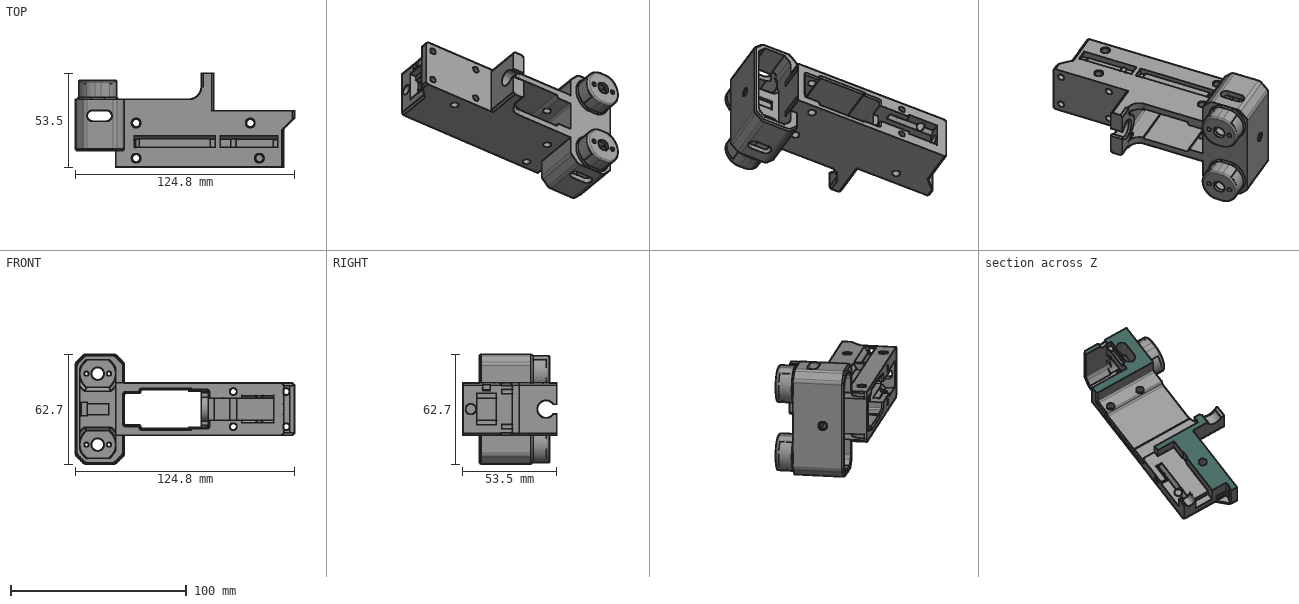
import cadquery as cq
import math

BODY_LEFT = 23.0
BODY_RIGHT = 118.6
BODY_HALF_Z = 14.9
BACK_Y = 38.7
RAIL_Y = 32.2
END_CHAMFER = 1.2

TAIL_RIGHT = 124.75
TAIL_UNDERSIDE_Y = 28.1
TAIL_NOTCH_RIGHT = 121.9
TAIL_SEAT_DEPTH = 0.5
TAIL_NOTCH_HALF_Z = 13.35

ARM_LEFT = 71.6
ARM_RIGHT = 78.9
ARM_TOP_Y = 53.5
ARM_FILLET = 7.0
CLIP_Y = 47.3
CLIP_DIAMETER = 9.8
CLIP_LEAD_IN = 1.1
CLIP_MOUTH = 5.4
ARM_RECESS_HALF_Z = 9.2
ARM_RECESS_TOP_Y = 42.9
ARM_CHEEK_Y = 44.7
ARM_CHEEK_RADIUS = 7.1

WINDOW_LEFT = 27.9
WINDOW_STEP_1 = 37.2
WINDOW_STEP_2 = 65.4
WINDOW_RIGHT = 75.6
WINDOW_HALF_LEFT = 9.0
WINDOW_HALF_MIDDLE = 11.0
WINDOW_HALF_RIGHT = 10.3
WINDOW_FILLET = 0.95
WINDOW_CHAMFER = 0.95

FRONT_WALL = 8.0
SLIT_HALF_Z = 6.2
SLIT_RIGHT = 112.8
MOUTH_LEFT = 94.6
MOUTH_HALF_Z = 7.75
UNDERCUT_LEFT = 84.0
UNDERCUT_FRONT_Y = 3.5
UNDERCUT_MID_Y = 5.2
UNDERCUT_BACK_Y = 7.4
UNDERCUT_HALF_Z = 8.4
CAVITY_LEFT = 79.0
CAVITY_FLOOR_Y = 19.0
END_OPENING_LEFT = 114.5
END_OPENING_HALF_Z = 9.0
FLOOR_GROOVE_DEPTH = 0.5
END_HOLE_Y = 4.5
END_HOLE_DIAMETER = 6.0

GROOVE_FRONT_Y = 11.2
GROOVE_BACK_Y = 18.0
GROOVE_SLOPE_END_Y = 16.2
GROOVE_DEEP_BACK_Y = 15.75
GROOVE_FLOOR_Z = 11.1
GROOVE_RAISED_FLOOR_Z = 12.2
GROOVE_SPANS = ((33.4, 79.7), (82.5, 115.2))
DEEP_GROOVE_SPANS = ((33.4, 36.5), (76.7, 79.7), (82.5, 115.2))
GROOVE_EXIT_LEFT = 112.7

STRAP_INNER_Z = 10.5
STRAP_OUTER_Z = 13.9
STRAP_FRONT_Y = 1.5
STRAP_BACK_Y = 15.5
STRAP_FLAT_END_Y = 4.5
STRAP_DEPTH = 4.0
STRAP_BEND_RADIUS = 6.0

CROSS_HOLES = ((34.6, 25.1), (34.6, 5.1), (99.6, 25.1))
BLIND_HOLE = (104.75, 5.1)
BLIND_HOLE_BOTTOM_Z = -8.6
CROSS_HOLE_DIAMETER = 4.5
HOLE_CHAMFER = 0.4
BOLTS = ((89.9, 0.0), (120.0, 22.0))
BOLT_Z = 10.0
BOLT_DIAMETER = 3.8

GRIP_RIGHT = 27.9
GRIP_HALF_Z = 31.35
GRIP_FRONT_Y = 9.4
GRIP_CORNER = 5.25
GRIP_CORNER_FILLET = 3.0
GRIP_RIM_CHAMFER = 0.95
GRIP_INNER_LEFT = 2.65
GRIP_INNER_HALF_Z = 28.0
GRIP_INNER_CORNER = 4.0
GRIP_INNER_FILLET = 4.0
GRIP_FLOOR_Y = 23.6
GRIP_HOLE_Y = 21.5
GRIP_HOLE_DIAMETER = 4.4
SLOT_X = 13.75
SLOT_Y = 29.2
SLOT_LENGTH = 14.0
SLOT_WIDTH = 6.0
FLOOR_RECESSES = ((3.3, 6.85, 3.9, 2.5), (6.85, 18.9, 3.2, 1.5))

BOSS_X = 12.75
BOSS_Z = 20.2
BOSS_RADIUS = 10.85
BOSS_HALF_Z = 10.25
BOSS_TOP_Y = 49.4
BOSS_EDGE_FILLET = 1.0
BOSS_SIDE_FILLET = 8.0
BOSS_BASE_HEIGHT = 1.2
BOSS_BASE_FLARE = 0.6
CUP_RADIUS = 10.2
CUP_HALF_Z = 7.8
CUP_FLOOR_Y = 47.4
CUP_FLARE = 2.2
SHAFT_DIAMETER = 7.0
PIN_DIAMETER = 2.4
PIN_OFFSET = 6.4

OVERSHOOT = 1.0
SELECT_MARGIN = 0.1


def box(x0, x1, y0, y1, z0, z1):
    """Axis-aligned block given by its limits."""
    return cq.Workplane("XY").box(x1 - x0, y1 - y0, z1 - z0, centered=False).translate((x0, y0, z0))


def rod_x(diameter, x0, x1, y, z=0):
    return cq.Workplane("YZ", origin=(x0, y, z)).circle(diameter / 2).extrude(x1 - x0)


def rod_y(diameter, y0, y1, x, z):
    return cq.Workplane("XZ", origin=(x, y0, z)).circle(diameter / 2).extrude(y0 - y1)


def rod_z(diameter, z0, z1, x, y):
    return cq.Workplane("XY", origin=(x, y, z0)).circle(diameter / 2).extrude(z1 - z0)


def clipped_disc(radius, half_z, y0, y1, z, flare=0):
    """Disc along Y with flat top and bottom, tapering in by flare from y0 to y1."""
    taper = math.degrees(math.atan2(flare, y1 - y0))
    half_flat = math.sqrt(radius ** 2 - half_z ** 2)
    plane = cq.Plane(origin=(BOSS_X, y0, z), xDir=(-1, 0, 0), normal=(0, 1, 0))
    return (
        cq.Workplane(plane)
        .moveTo(-half_flat, half_z)
        .lineTo(half_flat, half_z)
        .threePointArc((radius, 0), (half_flat, -half_z))
        .lineTo(-half_flat, -half_z)
        .threePointArc((-radius, 0), (-half_flat, half_z))
        .close()
        .extrude(y1 - y0, taper=taper)
    )


def body_blank():
    """Plan outline of the frame, tail and arm, with bevelled ends."""
    slope = TAIL_RIGHT - BODY_RIGHT
    arc_centre = (ARM_LEFT - ARM_FILLET, BACK_Y + ARM_FILLET)
    arc_reach = ARM_FILLET * math.sqrt(0.5)
    blank = (
        cq.Workplane("XY", origin=(0, 0, -BODY_HALF_Z))
        .moveTo(BODY_LEFT, 0)
        .lineTo(BODY_RIGHT, 0)
        .lineTo(BODY_RIGHT, TAIL_UNDERSIDE_Y - slope)
        .lineTo(TAIL_RIGHT, TAIL_UNDERSIDE_Y)
        .lineTo(TAIL_RIGHT, RAIL_Y)
        .lineTo(ARM_RIGHT, RAIL_Y)
        .lineTo(ARM_RIGHT, ARM_TOP_Y)
        .lineTo(ARM_LEFT, ARM_TOP_Y)
        .lineTo(ARM_LEFT, BACK_Y + ARM_FILLET)
        .threePointArc((arc_centre[0] + arc_reach, arc_centre[1] - arc_reach), (arc_centre[0], BACK_Y))
        .lineTo(BODY_LEFT, BACK_Y)
        .close()
        .extrude(2 * BODY_HALF_Z)
    )
    for x in (BODY_RIGHT, TAIL_RIGHT, ARM_RIGHT):
        near = cq.selectors.BoxSelector(
            (x - SELECT_MARGIN, 0, -BODY_HALF_Z - SELECT_MARGIN),
            (x + SELECT_MARGIN, ARM_TOP_Y, BODY_HALF_Z + SELECT_MARGIN),
        )
        blank = blank.edges("|Y").edges(near).chamfer(END_CHAMFER)
    return blank.cut(arm_left_chamfers())


def arm_left_chamfers():
    """Wedges that bevel the straight left edges of the arm."""
    upper = (
        cq.Workplane("XZ", origin=(0, ARM_TOP_Y, 0))
        .moveTo(ARM_LEFT, BODY_HALF_Z)
        .lineTo(ARM_LEFT + END_CHAMFER, BODY_HALF_Z)
        .lineTo(ARM_LEFT, BODY_HALF_Z - END_CHAMFER)
        .close()
        .extrude(ARM_TOP_Y - BACK_Y - ARM_FILLET)
    )
    return upper.union(upper.mirror("XY"))


def window():
    """Through window with rounded corners at its ends and a chamfered front edge."""
    upper = [
        (WINDOW_LEFT, WINDOW_HALF_LEFT),
        (WINDOW_STEP_1, WINDOW_HALF_LEFT),
        (WINDOW_STEP_1, WINDOW_HALF_MIDDLE),
        (WINDOW_STEP_2, WINDOW_HALF_MIDDLE),
        (WINDOW_STEP_2, WINDOW_HALF_RIGHT),
        (WINDOW_RIGHT, WINDOW_HALF_RIGHT),
    ]
    outline = upper + [(x, -z) for x, z in reversed(upper)]
    through = cq.Workplane("XZ").polyline(outline).close().extrude(-BACK_Y)
    sharp_step = cq.selectors.BoxSelector(
        (WINDOW_STEP_2 - SELECT_MARGIN, 0, -BODY_HALF_Z),
        (WINDOW_STEP_2 + SELECT_MARGIN, BACK_Y, BODY_HALF_Z),
    )
    rounded = cq.selectors.SubtractSelector(cq.selectors.StringSyntaxSelector("|Y"), sharp_step)
    through = through.edges(rounded).fillet(WINDOW_FILLET)
    mouth = (
        through.faces("<Y").workplane(centerOption="ProjectedOrigin")
        .add(through.faces("<Y").wires().vals()).toPending()
        .offset2D(WINDOW_CHAMFER)
        .extrude(-WINDOW_CHAMFER, taper=45)
    )
    return through.union(mouth, clean=False)


def slit():
    """Slit in the front wall with a wider mouth and an undercut along both of its sides."""
    opening = box(WINDOW_RIGHT, SLIT_RIGHT, 0, FRONT_WALL, -SLIT_HALF_Z, SLIT_HALF_Z)
    mouth = (
        cq.Workplane("YZ", origin=(MOUTH_LEFT, 0, 0))
        .moveTo(0, MOUTH_HALF_Z)
        .lineTo(UNDERCUT_MID_Y, UNDERCUT_HALF_Z)
        .lineTo(UNDERCUT_MID_Y, -UNDERCUT_HALF_Z)
        .lineTo(0, -MOUTH_HALF_Z)
        .close()
        .extrude(SLIT_RIGHT - MOUTH_LEFT)
    )
    undercut = (
        cq.Workplane("YZ", origin=(UNDERCUT_LEFT, 0, 0))
        .moveTo(UNDERCUT_FRONT_Y, SLIT_HALF_Z)
        .lineTo(UNDERCUT_MID_Y, UNDERCUT_HALF_Z)
        .lineTo(UNDERCUT_BACK_Y, SLIT_HALF_Z)
        .lineTo(UNDERCUT_BACK_Y, -SLIT_HALF_Z)
        .lineTo(UNDERCUT_MID_Y, -UNDERCUT_HALF_Z)
        .lineTo(UNDERCUT_FRONT_Y, -SLIT_HALF_Z)
        .close()
        .extrude(SLIT_RIGHT - UNDERCUT_LEFT)
    )
    return opening.union(mouth).union(undercut)


def cavity():
    """Room behind the slit, open at the right end of the body."""
    room = box(CAVITY_LEFT, TAIL_RIGHT, FRONT_WALL, CAVITY_FLOOR_Y, -SLIT_HALF_Z, SLIT_HALF_Z)
    groove_half = BOLT_DIAMETER / 2
    groove = box(
        BOLTS[0][0] - groove_half, BOLTS[0][0] + groove_half,
        FRONT_WALL, CAVITY_FLOOR_Y + FLOOR_GROOVE_DEPTH,
        -SLIT_HALF_Z, SLIT_HALF_Z,
    )
    end_hole = rod_x(END_HOLE_DIAMETER, SLIT_RIGHT - OVERSHOOT, BODY_RIGHT + OVERSHOOT, END_HOLE_Y)
    end_opening = box(
        END_OPENING_LEFT, BODY_RIGHT + OVERSHOOT,
        FRONT_WALL, CAVITY_FLOOR_Y,
        -END_OPENING_HALF_Z, END_OPENING_HALF_Z,
    )
    return room.union(groove).union(end_hole).union(end_opening)


def groove_prism(span, top_z, top_back_y, floor_z, floor_back_y):
    """Groove section between two heights, its rear side sloping between two Y values."""
    left, right = span
    return (
        cq.Workplane("YZ", origin=(left, 0, 0))
        .moveTo(GROOVE_FRONT_Y, top_z)
        .lineTo(top_back_y, top_z)
        .lineTo(floor_back_y, floor_z)
        .lineTo(GROOVE_FRONT_Y, floor_z)
        .close()
        .extrude(right - left)
    )


def groove_exit():
    """Opening from the right groove out through the right end of the body."""
    return box(
        GROOVE_EXIT_LEFT, BODY_RIGHT + OVERSHOOT,
        GROOVE_FRONT_Y, STRAP_BACK_Y,
        STRAP_INNER_Z, STRAP_OUTER_Z,
    )


def strap_channel(bottom_z):
    """Channel that enters the left wall and bends toward +X."""
    inner_x = BODY_LEFT + STRAP_DEPTH
    bend_x = inner_x + STRAP_BEND_RADIUS
    reach = STRAP_BEND_RADIUS * math.sqrt(0.5)
    bend_end_y = STRAP_FLAT_END_Y + STRAP_BEND_RADIUS
    end_x = GROOVE_SPANS[0][0] + OVERSHOOT
    return (
        cq.Workplane("XY", origin=(0, 0, bottom_z))
        .moveTo(BODY_LEFT, STRAP_FRONT_Y)
        .lineTo(inner_x, STRAP_FRONT_Y)
        .lineTo(inner_x, STRAP_FLAT_END_Y)
        .threePointArc((bend_x - reach, STRAP_FLAT_END_Y + reach), (bend_x, bend_end_y))
        .lineTo(end_x, bend_end_y)
        .lineTo(end_x, STRAP_BACK_Y)
        .lineTo(BODY_LEFT, STRAP_BACK_Y)
        .close()
        .extrude(STRAP_OUTER_Z - STRAP_INNER_Z)
    )


def arm_cheek():
    """Rounded material kept below the clip."""
    return rod_x(2 * ARM_CHEEK_RADIUS, ARM_LEFT, ARM_RIGHT, ARM_CHEEK_Y)


def arm_recess():
    """Window continued through the corner fillet, and a relief at the foot of the arm."""
    passage = box(
        WINDOW_STEP_2 - OVERSHOOT, ARM_LEFT,
        RAIL_Y, ARM_TOP_Y,
        -WINDOW_HALF_RIGHT, WINDOW_HALF_RIGHT,
    )
    relief = box(ARM_LEFT, WINDOW_RIGHT, RAIL_Y, ARM_RECESS_TOP_Y, -ARM_RECESS_HALF_Z, ARM_RECESS_HALF_Z)
    return passage.union(relief)


def clip_cut():
    """Bore of the rod clip with its lead-in and its open mouth."""
    bore = rod_x(CLIP_DIAMETER, ARM_LEFT - OVERSHOOT, ARM_RIGHT + OVERSHOOT, CLIP_Y)
    lead_in = (
        cq.Workplane("YZ", origin=(ARM_LEFT, CLIP_Y, 0))
        .circle(CLIP_DIAMETER / 2 + CLIP_LEAD_IN)
        .extrude(CLIP_LEAD_IN, taper=45)
    )
    mouth = box(
        ARM_LEFT - OVERSHOOT, ARM_RIGHT + OVERSHOOT,
        CLIP_Y, ARM_TOP_Y + OVERSHOOT,
        -CLIP_MOUTH / 2, CLIP_MOUTH / 2,
    )
    return bore.union(lead_in).union(mouth)


def countersunk_cross_hole(x, y, bottom_z):
    """Hole from the upper face down to bottom_z, with a bevelled rim."""
    top_cone = (
        cq.Workplane("XY", origin=(x, y, BODY_HALF_Z))
        .circle(CROSS_HOLE_DIAMETER / 2 + HOLE_CHAMFER)
        .extrude(-HOLE_CHAMFER, taper=45)
    )
    return rod_z(CROSS_HOLE_DIAMETER, bottom_z, BODY_HALF_Z, x, y).union(top_cone)


def tail_notch():
    """Pocket in the sloping underside of the tail, deeper next to the body."""
    pocket = box(
        BODY_RIGHT, TAIL_RIGHT + OVERSHOOT,
        CAVITY_FLOOR_Y, TAIL_UNDERSIDE_Y,
        -TAIL_NOTCH_HALF_Z, TAIL_NOTCH_HALF_Z,
    )
    seat = box(
        BODY_RIGHT, TAIL_NOTCH_RIGHT,
        CAVITY_FLOOR_Y, TAIL_UNDERSIDE_Y + TAIL_SEAT_DEPTH,
        -TAIL_NOTCH_HALF_Z, TAIL_NOTCH_HALF_Z,
    )
    return pocket.union(seat)


def make_body():
    opening = window().union(arm_recess()).cut(arm_cheek())
    body = body_blank().cut(opening).cut(slit()).cut(cavity())
    for span in GROOVE_SPANS:
        body = body.cut(groove_prism(
            span, BODY_HALF_Z, GROOVE_BACK_Y, GROOVE_RAISED_FLOOR_Z, GROOVE_SLOPE_END_Y,
        ))
    for span in DEEP_GROOVE_SPANS:
        body = body.cut(groove_prism(
            span, GROOVE_RAISED_FLOOR_Z, GROOVE_SLOPE_END_Y, GROOVE_FLOOR_Z, GROOVE_DEEP_BACK_Y,
        ))
    body = body.cut(groove_exit())
    for bottom_z in (STRAP_INNER_Z, -STRAP_OUTER_Z):
        body = body.cut(strap_channel(bottom_z))
    body = body.cut(clip_cut()).cut(tail_notch())
    for x, y in CROSS_HOLES:
        body = body.cut(countersunk_cross_hole(x, y, -BODY_HALF_Z))
    body = body.cut(countersunk_cross_hole(*BLIND_HOLE, BLIND_HOLE_BOTTOM_Z))
    for x, start_y in BOLTS:
        for z in (-BOLT_Z, BOLT_Z):
            body = body.cut(rod_y(BOLT_DIAMETER, start_y, RAIL_Y, x, z))
    return body


def boss(z):
    """Flat-sided post with a rounded end and a flared foot."""
    post = clipped_disc(BOSS_RADIUS, BOSS_HALF_Z, GRIP_FLOOR_Y, BOSS_TOP_Y, z)
    post = post.edges("|Y").fillet(BOSS_SIDE_FILLET)
    post = post.faces(">Y").edges().fillet(BOSS_EDGE_FILLET)
    base = clipped_disc(
        BOSS_RADIUS + BOSS_BASE_FLARE, BOSS_HALF_Z + BOSS_BASE_FLARE,
        BACK_Y, BACK_Y + BOSS_BASE_HEIGHT, z, BOSS_BASE_FLARE,
    )
    return post.union(base)


def grip_interior(y1):
    """Room of the grip: cut corners, rounded only where they meet the side walls."""
    room = box(GRIP_INNER_LEFT, BODY_LEFT, GRIP_FRONT_Y, y1, -GRIP_INNER_HALF_Z, GRIP_INNER_HALF_Z)
    room = room.edges("|Y").chamfer(GRIP_INNER_CORNER)
    wall_end = GRIP_INNER_HALF_Z - GRIP_INNER_CORNER / 2
    side_edges = cq.selectors.BoxSelector((0, 0, -wall_end), (GRIP_RIGHT, BACK_Y, wall_end))
    return room.edges("|Y").edges(side_edges).fillet(GRIP_INNER_FILLET)


def boss_cup(z):
    """Cup inside a boss, its mouth flared within the box interior, and the holes in its end."""
    cup = clipped_disc(CUP_RADIUS, CUP_HALF_Z, GRIP_FLOOR_Y, CUP_FLOOR_Y, z)
    mouth = clipped_disc(
        CUP_RADIUS + CUP_FLARE, CUP_HALF_Z + CUP_FLARE,
        GRIP_FLOOR_Y, GRIP_FLOOR_Y + CUP_FLARE, z, CUP_FLARE,
    )
    cup = cup.union(mouth.intersect(grip_interior(BACK_Y)))
    cup = cup.union(rod_y(SHAFT_DIAMETER, GRIP_FLOOR_Y, BOSS_TOP_Y, BOSS_X, z))
    for offset in (-PIN_OFFSET, PIN_OFFSET):
        cup = cup.union(rod_y(PIN_DIAMETER, GRIP_FLOOR_Y, BOSS_TOP_Y, BOSS_X + offset, z))
    return cup


def grip_shell():
    shell = box(0, GRIP_RIGHT, GRIP_FRONT_Y, BACK_Y, -GRIP_HALF_Z, GRIP_HALF_Z)
    shell = shell.edges("|Y").chamfer(GRIP_CORNER).edges("|Y").fillet(GRIP_CORNER_FILLET)
    return shell.faces("<Y").edges().chamfer(GRIP_RIM_CHAMFER)


def grip_cuts():
    """Room, side slot, screw hole and floor recesses of the grip."""
    slot = (
        cq.Workplane("XY", origin=(SLOT_X, SLOT_Y, -GRIP_HALF_Z))
        .slot2D(SLOT_LENGTH, SLOT_WIDTH)
        .extrude(2 * GRIP_HALF_Z)
    )
    hole = rod_x(GRIP_HOLE_DIAMETER, 0, GRIP_INNER_LEFT, GRIP_HOLE_Y)
    cone = (
        cq.Workplane("YZ", origin=(0, GRIP_HOLE_Y, 0))
        .circle(GRIP_HOLE_DIAMETER / 2 + HOLE_CHAMFER)
        .extrude(HOLE_CHAMFER, taper=45)
    )
    cuts = grip_interior(GRIP_FLOOR_Y).union(slot).union(hole).union(cone)
    for left, right, half_z, depth in FLOOR_RECESSES:
        cuts = cuts.union(box(left, right, GRIP_FLOOR_Y, GRIP_FLOOR_Y + depth, -half_z, half_z))
    return cuts


def make_part():
    shell = grip_shell().cut(box(BODY_LEFT, GRIP_RIGHT, 0, BACK_Y, -BODY_HALF_Z, BODY_HALF_Z))
    for z in (-BOSS_Z, BOSS_Z):
        shell = shell.union(boss(z))
    shell = shell.cut(grip_cuts())
    for z in (-BOSS_Z, BOSS_Z):
        shell = shell.cut(boss_cup(z))
    return make_body().union(shell)


result = make_part()